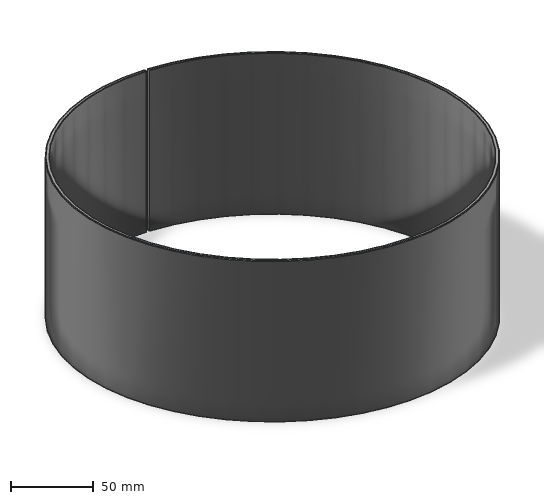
import cadquery as cq

outer_diameter = 275.0
height = 110.0
wall_thickness = 2.5
outer_rim_chamfer = 0.5
inner_rim_chamfer = 0.25
seam_angle = 1.0

outer_radius = outer_diameter / 2
inner_radius = outer_radius - wall_thickness

section = (
    cq.Workplane("XZ")
    .moveTo(-outer_radius, outer_rim_chamfer)
    .lineTo(-outer_radius, height - outer_rim_chamfer)
    .lineTo(-outer_radius + outer_rim_chamfer, height)
    .lineTo(-inner_radius - inner_rim_chamfer, height)
    .lineTo(-inner_radius, height - inner_rim_chamfer)
    .lineTo(-inner_radius, inner_rim_chamfer)
    .lineTo(-inner_radius - inner_rim_chamfer, 0)
    .lineTo(-outer_radius + outer_rim_chamfer, 0)
    .close()
)

result = section.revolve(360 - seam_angle, (0, 0, 0), (0, 1, 0))